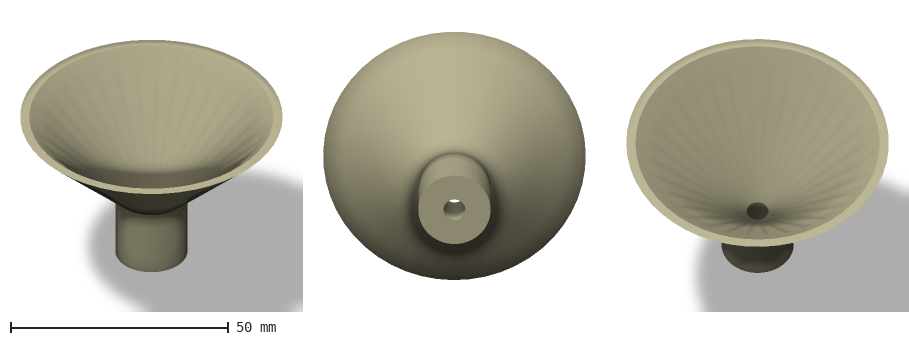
import cadquery as cq
import math

rim_diameter = 60.3
spout_diameter = 16.6
bore_diameter = 5.0
overall_height = 38.04
wall_thickness = 1.5
cone_angle = math.radians(45)

rim_radius = rim_diameter / 2
spout_radius = spout_diameter / 2
bore_radius = bore_diameter / 2
mouth_radius = rim_radius - wall_thickness / math.sin(cone_angle)
slope = math.tan(cone_angle)
spout_height = overall_height - (rim_radius - spout_radius) * slope
bore_height = overall_height - (mouth_radius - bore_radius) * slope


def funnel():
    """Revolve the half section: straight spout, flaring cone and central bore."""
    section = [
        (bore_radius, 0),
        (spout_radius, 0),
        (spout_radius, spout_height),
        (rim_radius, overall_height),
        (mouth_radius, overall_height),
        (bore_radius, bore_height),
    ]
    axis_start = (0, 0, 0)
    axis_end = (0, 1, 0)
    return cq.Workplane("XZ").polyline(section).close().revolve(360, axis_start, axis_end)


result = funnel()